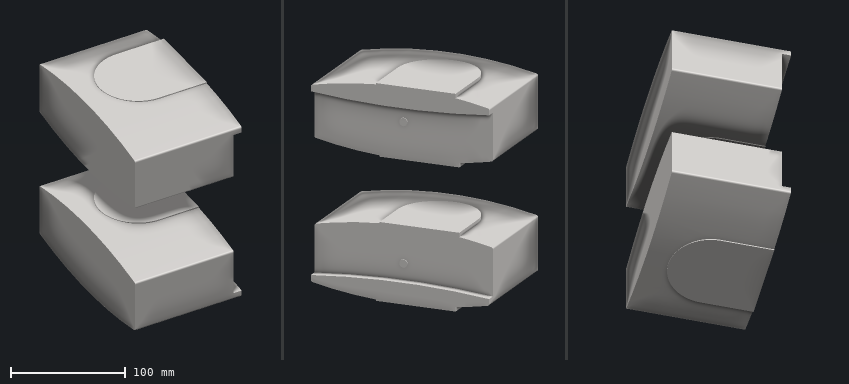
import cadquery as cq
import math

total_height = 200.0
total_depth = 107.0
block_width = 170.0
block_height = 70.0
block_center_z = (total_height - block_height) / 2

pad_rise = 0.5
crown_radius = 400.0
edge_fillet = 2.0
half_width = block_width / 2
crown_half_height = block_height / 2 - pad_rise
crown_sag = crown_radius - math.sqrt(crown_radius**2 - half_width**2)
end_half_height = crown_half_height - crown_sag

lip_length = 8.0
lip_end_drop = 15.5
lip_middle_drop = 20.0
lip_end_z = block_height / 2 - lip_end_drop
lip_middle_z = block_height / 2 - lip_middle_drop

pad_width = 76.0
pad_center_x = -15.0
pad_straight = 48.0

stud_diameter = 7.5
stud_height = 0.8

front_y = -total_depth / 2
lip_rear_y = total_depth / 2
rear_y = lip_rear_y - lip_length
pad_arc_y = lip_rear_y - pad_straight


def extrude_along_y(profile, start_y, end_y):
    """Extrude a closed XZ profile between two depths."""
    return profile.extrude(start_y - end_y).translate((0, start_y, 0))


def make_core():
    """Full-depth part of the block, with both crowned faces."""
    profile = (
        cq.Workplane("XZ")
        .moveTo(-half_width, -end_half_height)
        .threePointArc((0, -crown_half_height), (half_width, -end_half_height))
        .lineTo(half_width, end_half_height)
        .threePointArc((0, crown_half_height), (-half_width, end_half_height))
        .close()
    )
    core = extrude_along_y(profile, front_y, lip_rear_y)
    return core.edges("|Y").fillet(edge_fillet)


def make_pads():
    """Pad outline extruded through the full block height, forming both pads."""
    pad_radius = pad_width / 2
    left_x = pad_center_x - pad_radius
    right_x = pad_center_x + pad_radius
    return (
        cq.Workplane("XY")
        .moveTo(left_x, lip_rear_y)
        .lineTo(left_x, pad_arc_y)
        .threePointArc((pad_center_x, pad_arc_y - pad_radius), (right_x, pad_arc_y))
        .lineTo(right_x, lip_rear_y)
        .close()
        .extrude(block_height / 2, both=True)
    )


def make_rear_relief():
    """Space behind the rear face, below the bulged underside of the lip."""
    profile = (
        cq.Workplane("XZ")
        .moveTo(-half_width, -block_height / 2)
        .lineTo(half_width, -block_height / 2)
        .lineTo(half_width, lip_end_z)
        .threePointArc((0, lip_middle_z), (-half_width, lip_end_z))
        .close()
    )
    return extrude_along_y(profile, rear_y, lip_rear_y)


def make_stud():
    """Low round stud standing on the rear face."""
    profile = cq.Workplane("XZ").circle(stud_diameter / 2)
    return extrude_along_y(profile, rear_y, rear_y + stud_height)


def make_block(side):
    """One block; side is +1 for the upper one and -1 for its mirror image below."""
    block = make_core().union(make_pads())
    block = block.cut(make_rear_relief()).union(make_stud())
    block = block.translate((0, 0, block_center_z))
    if side < 0:
        block = block.mirror("XY")
    return block


blocks = [make_block(side).solids().val() for side in (1, -1)]

result = cq.Compound.makeCompound(blocks)